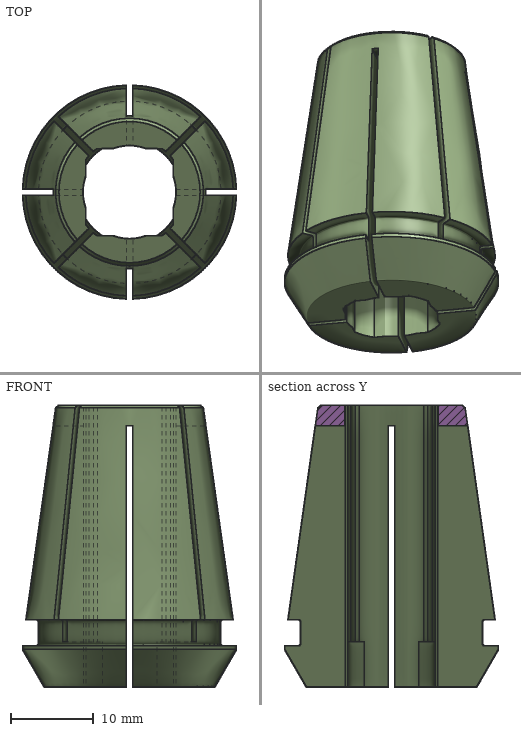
import cadquery as cq
import math

total_height = 34.0
flange_top = 5.0
flange_rim_height = 0.45
neck_top = 8.1
axis_slot_top = 31.5
diagonal_slot_floor = 5.5

flange_radius = 12.9
flange_cone_angle = 30.0
neck_radius = 11.0
neck_fillet = 0.2
base_edge_radius = 0.2
body_radius = 12.5
body_taper_angle = 8.0
top_chamfer = 0.35

slot_width = 0.75
slot_overrun = 2.0

bore_radius = 5.6
square_side = 10.5
upper_corner_radius = 6.55
lower_corner_radius = 6.2


def revolved_body():
    """Outer shape: clamping flange, neck groove and tapered body."""
    cone_angle = math.radians(flange_cone_angle)
    taper_angle = math.radians(body_taper_angle)

    rim_bottom = flange_top - flange_rim_height
    base_radius = flange_radius - rim_bottom * math.tan(cone_angle)
    base_trim = base_edge_radius * math.tan((math.pi / 2 - cone_angle) / 2)

    top_radius = body_radius - (total_height - neck_top) * math.tan(taper_angle)

    profile = (
        cq.Workplane("XZ")
        .lineTo(base_radius - base_trim, 0)
        .radiusArc(
            (base_radius + base_trim * math.sin(cone_angle), base_trim * math.cos(cone_angle)),
            -base_edge_radius,
        )
        .lineTo(flange_radius, rim_bottom)
        .lineTo(flange_radius, flange_top)
        .lineTo(neck_radius + neck_fillet, flange_top)
        .radiusArc((neck_radius, flange_top + neck_fillet), neck_fillet)
        .lineTo(neck_radius, neck_top - neck_fillet)
        .radiusArc((neck_radius + neck_fillet, neck_top), neck_fillet)
        .lineTo(body_radius, neck_top)
        .lineTo(
            top_radius + top_chamfer * math.sin(taper_angle),
            total_height - top_chamfer * math.cos(taper_angle),
        )
        .lineTo(top_radius - top_chamfer, total_height)
        .lineTo(0, total_height)
        .close()
    )
    return profile.revolve(360, (0, 0, 0), (0, 1, 0))


def bore_section(corner_limit, bottom, top):
    """Bore between two heights, its square corners rounded to the radius corner_limit."""
    depth = top - bottom
    plane = cq.Workplane("XY").workplane(offset=bottom)
    square = plane.rect(square_side, square_side).extrude(depth)
    corner_round = plane.circle(corner_limit).extrude(depth)
    return square.intersect(corner_round).union(plane.circle(bore_radius).extrude(depth))


def crossed_slots(bottom, top, angle):
    """Two thin slots through the axis, at right angles to each other."""
    slot_length = 2 * flange_radius + slot_overrun
    slot = (
        cq.Workplane("XY")
        .workplane(offset=bottom)
        .rect(slot_length, slot_width)
        .extrude(top - bottom)
        .rotate((0, 0, 0), (0, 0, 1), angle)
    )
    return slot.union(slot.rotate((0, 0, 0), (0, 0, 1), 90))


result = (
    revolved_body()
    .cut(bore_section(lower_corner_radius, 0, diagonal_slot_floor))
    .cut(bore_section(upper_corner_radius, diagonal_slot_floor, total_height))
    .cut(crossed_slots(0, axis_slot_top, 0))
    .cut(crossed_slots(diagonal_slot_floor, total_height, 45))
)